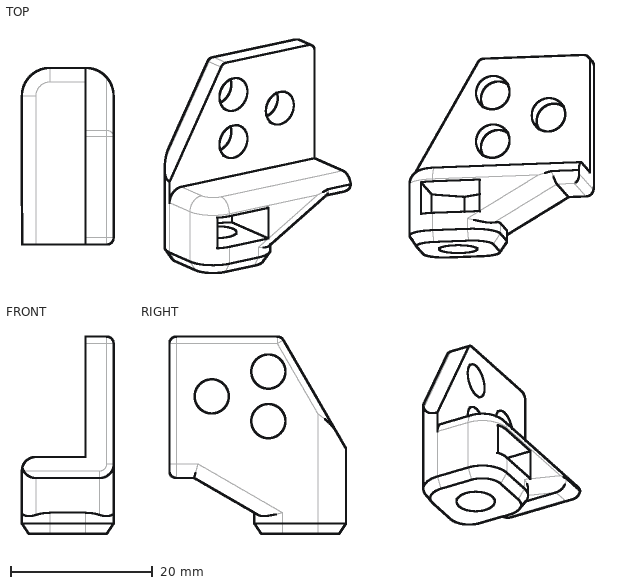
import cadquery as cq
import math

WIDTH = 13.0
LENGTH = 25.0
HEIGHT = 27.9

PLATE_THICKNESS = 4.0
PLATE_FACE_X = WIDTH - PLATE_THICKNESS
PLATE_EDGE_RADIUS = 1.0
PLATE_SLOPE_START_Z = 12.04
PLATE_SLOPE_ANGLE = 60.0

SHELF_TOP = 10.9
SHELF_THICKNESS = 3.0
SHELF_EDGE_RADIUS = 2.0
SHELF_BOTTOM = SHELF_TOP - SHELF_THICKNESS

POST_SIZE = WIDTH
POST_CORNER_RADIUS = 4.0
POST_CHAMFER_HEIGHT = 1.5
POST_CHAMFER_INSET = 1.0
POST_CENTER = (WIDTH / 2, LENGTH - POST_SIZE / 2)
POST_FRONT_Y = LENGTH - POST_SIZE

RIB_ANGLE = 30.0
RIB_FOOT_Z = 3.0
RIB_START_Y = PLATE_EDGE_RADIUS
RIB_END_Y = POST_FRONT_Y + POST_CORNER_RADIUS

NUT_ACROSS_FLATS = 8.5
NUT_FLOOR_Z = 4.0
NUT_HEIGHT = 4.55
SCREW_HOLE_DIAMETER = 5.4

PLATE_HOLE_DIAMETER = 4.8
HOLE_PAIR_SPACING = 7.0
HOLE_SINGLE_Y = 6.0
HOLE_SINGLE_Z = 19.44
HOLE_PAIR_Y = 14.0
PLATE_HOLES = [
    (HOLE_SINGLE_Y, HOLE_SINGLE_Z),
    (HOLE_PAIR_Y, HOLE_SINGLE_Z - HOLE_PAIR_SPACING / 2),
    (HOLE_PAIR_Y, HOLE_SINGLE_Z + HOLE_PAIR_SPACING / 2),
]

OVERHANG = 5.0


def box(x_range, y_range, z_range):
    """Box given by its lower and upper limits along each axis."""
    ranges = (x_range, y_range, z_range)
    size = [high - low for low, high in ranges]
    corner = tuple(low for low, high in ranges)
    return cq.Workplane("XY").box(*size, centered=False).translate(corner)


def make_plate_and_shelf():
    """L-shaped bracket with its outer edges rounded."""
    slope_rise = HEIGHT - PLATE_SLOPE_START_Z
    slope_run = slope_rise / math.tan(math.radians(PLATE_SLOPE_ANGLE))
    plate = (
        cq.Workplane("YZ", origin=(PLATE_FACE_X, 0, 0))
        .moveTo(0, SHELF_BOTTOM)
        .lineTo(0, HEIGHT)
        .lineTo(LENGTH - slope_run, HEIGHT)
        .lineTo(LENGTH, PLATE_SLOPE_START_Z)
        .lineTo(LENGTH, SHELF_BOTTOM)
        .close()
        .extrude(PLATE_THICKNESS)
        .edges("|X and >Z")
        .fillet(PLATE_EDGE_RADIUS)
    )
    shelf = box((-OVERHANG, WIDTH), (0, LENGTH), (SHELF_BOTTOM, SHELF_TOP))
    body = plate.union(shelf).clean()
    body = body.edges("|Y and >X and <Z").fillet(SHELF_EDGE_RADIUS)
    body = body.edges("|X and <Y and <Z").fillet(PLATE_EDGE_RADIUS)

    lower_edge_trim = (
        box((0, WIDTH), (0, LENGTH), (SHELF_BOTTOM, HEIGHT))
        .edges("|Y and <X and <Z")
        .fillet(SHELF_EDGE_RADIUS)
    )
    return body.intersect(lower_edge_trim)


def make_rib():
    """Sloping rib with rounded lower edges, buried in the shelf and the post."""
    slope = math.tan(math.radians(RIB_ANGLE))
    return (
        cq.Workplane("YZ")
        .moveTo(RIB_START_Y, RIB_FOOT_Z + (POST_FRONT_Y - RIB_START_Y) * slope)
        .lineTo(RIB_END_Y, RIB_FOOT_Z - (RIB_END_Y - POST_FRONT_Y) * slope)
        .lineTo(RIB_END_Y, SHELF_TOP)
        .lineTo(RIB_START_Y, SHELF_TOP)
        .close()
        .extrude(WIDTH)
        .faces("<Z")
        .edges("not |X")
        .fillet(SHELF_EDGE_RADIUS)
    )


def make_post():
    """Rounded square post with a chamfered foot."""
    return (
        cq.Workplane("XY", origin=(*POST_CENTER, 0))
        .rect(POST_SIZE, POST_SIZE)
        .extrude(SHELF_TOP)
        .edges("|Z")
        .fillet(POST_CORNER_RADIUS)
        .faces("<Z")
        .chamfer(POST_CHAMFER_HEIGHT, POST_CHAMFER_INSET)
    )


def make_outer_trim():
    """Envelope that rounds the +Y corners and the top edges of the shelf."""
    y_range = (-OVERHANG, LENGTH)
    shelf_zone = (
        box((0, WIDTH + OVERHANG), y_range, (0, SHELF_TOP))
        .edges("|Z and <X and >Y")
        .fillet(POST_CORNER_RADIUS)
        .edges("|Y and <X and >Z")
        .fillet(SHELF_EDGE_RADIUS)
    )
    shelf_zone = shelf_zone.intersect(box((0, PLATE_FACE_X), y_range, (0, SHELF_TOP)))
    plate_zone = (
        box((PLATE_FACE_X - OVERHANG, WIDTH), y_range, (0, HEIGHT))
        .edges("|Z and >X and >Y")
        .fillet(POST_CORNER_RADIUS)
        .intersect(box((PLATE_FACE_X, WIDTH), y_range, (0, HEIGHT)))
    )
    return shelf_zone.union(plate_zone)


def make_nut_pocket():
    """Hexagonal nut seat on the post axis, open to the -X side."""
    corner_diameter = NUT_ACROSS_FLATS / math.cos(math.radians(30))
    center_x, center_y = POST_CENTER
    half_flats = NUT_ACROSS_FLATS / 2
    z_range = (NUT_FLOOR_Z, NUT_FLOOR_Z + NUT_HEIGHT)
    seat = (
        cq.Workplane("XY", origin=(center_x, center_y, NUT_FLOOR_Z))
        .polygon(6, corner_diameter)
        .extrude(NUT_HEIGHT)
    )
    entry = box((-OVERHANG, center_x), (center_y - half_flats, center_y + half_flats), z_range)
    return seat.union(entry)


def make_screw_hole():
    """Vertical hole from the foot of the post up into the nut pocket."""
    return (
        cq.Workplane("XY", origin=(*POST_CENTER, 0))
        .circle(SCREW_HOLE_DIAMETER / 2)
        .extrude(NUT_FLOOR_Z + NUT_HEIGHT)
    )


def make_plate_holes():
    """Round holes along X through the plate."""
    return (
        cq.Workplane("YZ", origin=(PLATE_FACE_X, 0, 0))
        .pushPoints(PLATE_HOLES)
        .circle(PLATE_HOLE_DIAMETER / 2)
        .extrude(PLATE_THICKNESS)
    )


body = make_plate_and_shelf().union(make_rib()).union(make_post())
body = body.intersect(make_outer_trim())
result = body.cut(make_nut_pocket()).cut(make_screw_hole()).cut(make_plate_holes())